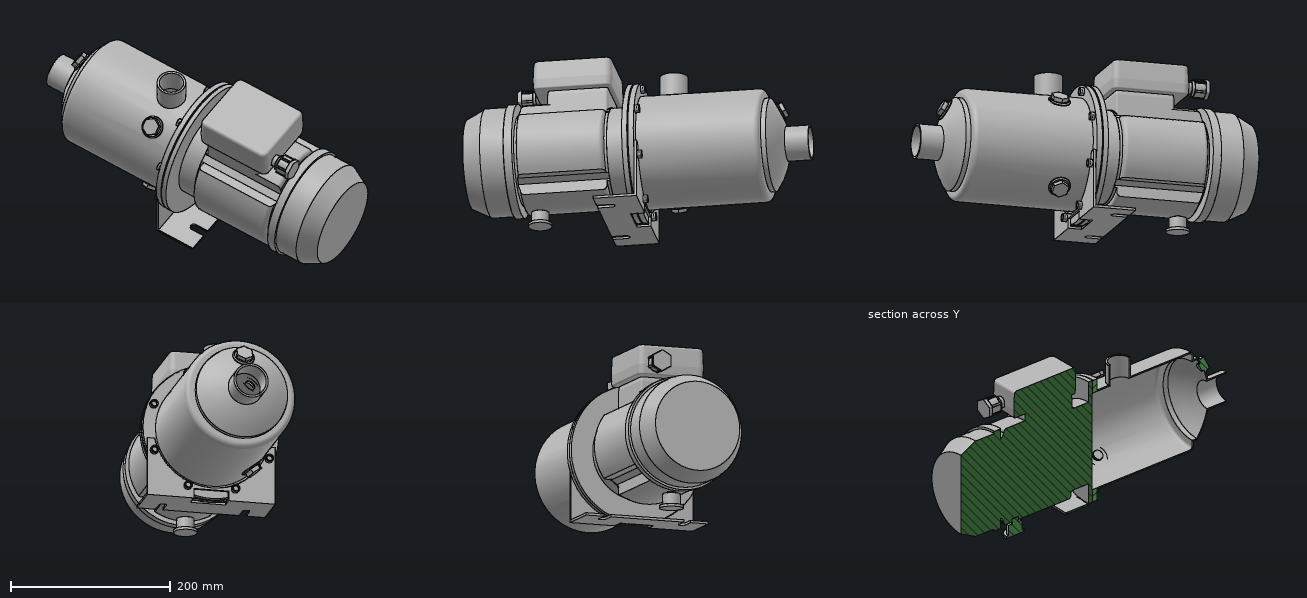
import cadquery as cq
import math


CASING_RADIUS = 71.5
CASING_FRONT = 54.0
CASING_EDGE_RADIUS = 7.0
WALL = 2.5
DOME_RADIUS = 97.0
DOME_CENTER_X = 124.5
DOME_RIM_RADIUS = 59.0
INLET_RADIUS = 22.0
INLET_BORE_RADIUS = 19.5
OUTLET_X = 174.5
OUTLET_DIAMETER = 36.0
OUTLET_BORE_DIAMETER = 30.5
OUTLET_TOP = 99.5

FLANGE_RADIUS = 88.2
CASING_FLANGE_RADIUS = 88.0
FLANGE_FRONT = 211.0
JOINT_X = 219.5
FLANGE_REAR = 226.0
JOINT_CHAMFER = 1.5

SCREW_COUNT = 8
SCREW_CIRCLE_RADIUS = 80.5
SCREW_HEAD_DIAMETER = 10.0
SCREW_HEAD_HEIGHT = 5.0
SCREW_SHANK_DIAMETER = 7.0
SOCKET_DIAMETER = 7.0
SOCKET_DEPTH = 2.5

PLUG_X = 175.5
PLUG_ANGLE = 52.0
DOME_PLUG_ANGLE = 27.5
PLUG_COLLAR_DIAMETER = 28.0
PLUG_COLLAR_TOP = 1.0
PLUG_COLLAR_CHAMFER = 1.7
PLUG_SEAT_DEPTH = 1.7
PLUG_HEX_FLATS = 19.5
PLUG_HEX_TOP = 6.5
PLUG_SHANK_DIAMETER = 13.0
PLUG_SHANK_DEPTH = 5.0

BRACKET_THICKNESS = 3.0
BRACKET_WIDTH = 165.5
BRACKET_TOP = -14.8
BRACKET_REAR = 263.5
BRACKET_CUTOUT_RADIUS = 74.8
GROUND_Z = -90.0
WINDOW_WIDTH = 44.8
WINDOW_TOP = -77.5
BASE_SLOT_WIDTH = 9.0
BASE_SLOT_Y = 54.0
BASE_SLOT_LENGTH = 22.5
BRACKET_FRONT = FLANGE_FRONT - BRACKET_THICKNESS

NECK_RADIUS = 59.0
CORE_RADIUS = 60.0
CORE_FRONT = 250.5
CORE_REAR = 367.0
FAN_SEAT_RADIUS = 57.0
FAN_FRONT = 369.5
FAN_RIM_RADIUS = 72.0
FAN_RIM_REAR = 380.3
FAN_RADIUS = 69.0
FAN_CONE_FRONT = 410.5
FAN_END_RADIUS = 57.0
MOTOR_REAR = 434.5
PANEL_RADIUS = 69.5
PANEL_FRONT = 254.0
PANEL_REAR = 364.5
PANEL_END_RADIUS = 5.0
PANEL_HALF_WIDTH = 35.5
SIDE_PANEL_HALF_HEIGHT = 40.5
BEVEL_WIDTH = 8.5
BEVEL_RISE = 5.0

PEDESTAL_FRONT = 252.5
PEDESTAL_REAR = 330.5
PEDESTAL_SHOULDER = 73.5
PEDESTAL_DRAFT = 10.0
PEDESTAL_CORNER_RADIUS = 3.5
BOX_CENTER_X = 297.3
BOX_LENGTH = 102.0
BOX_WIDTH = 90.5
BOX_BOTTOM = 78.5
BOX_SPLIT = 91.5
BOX_TOP = 117.5
BOX_CORNER_RADIUS = 8.5
LID_DRAFT = 2.5
TRAY_DRAFT = 5.0
LID_EDGE_RADIUS = 4.5
TRAY_EDGE_RADIUS = 2.0

GLAND_Y = -24.8
GLAND_Z = 92.0
GLAND_SEAT_X = 345.5
GLAND_NECK_REAR = 354.0
GLAND_COLLAR_REAR = 357.5
GLAND_NUT_REAR = 371.5
GLAND_REAR = 377.0
GLAND_NECK_DIAMETER = 15.0
GLAND_COLLAR_DIAMETER = 19.5
GLAND_NUT_DIAMETER = 23.0
GLAND_RIB_COUNT = 6
GLAND_RIB_WIDTH = 2.5
GLAND_RIB_RADIUS = 12.5
GLAND_HEX_CORNERS = 27.5
GLAND_HEX_EDGE_RADIUS = 1.7

FOOT_X = 345.5
FOOT_STEM_DIAMETER = 10.0
FOOT_STEM_TOP = -65.0
FOOT_BODY_DIAMETER = 22.0
FOOT_BODY_TOP = -71.5
FOOT_DISC_DIAMETER = 30.0
FOOT_DISC_TOP = -86.5


def cylinder_x(diameter, x_start, x_end, y=0, z=0):
    """Cylinder parallel to the X axis."""
    return (cq.Workplane("YZ", origin=(x_start, y, z))
            .circle(diameter / 2).extrude(x_end - x_start))


def cylinder_z(diameter, x, z_start, z_end):
    """Vertical cylinder on the Y = 0 plane."""
    return (cq.Workplane("XY", origin=(x, 0, z_start))
            .circle(diameter / 2).extrude(z_end - z_start))


def block(x_range, y_range, z_range):
    """Rectangular block between pairs of limits."""
    (x0, x1), (y0, y1), (z0, z1) = x_range, y_range, z_range
    return cq.Workplane("XY").box(x1 - x0, y1 - y0, z1 - z0, centered=False).translate((x0, y0, z0))


def dome_x(radius, distance):
    """X on a dome sphere of the given radius, at a distance from the axis."""
    return DOME_CENTER_X - math.sqrt(radius ** 2 - distance ** 2)


def dome_arc_middle(radius, inner, outer):
    """Point halfway between two distances from the axis on a dome sphere."""
    middle = (inner + outer) / 2
    return dome_x(radius, middle), middle


def screw_positions():
    """(y, z) of each flange screw."""
    step = 2 * math.pi / SCREW_COUNT
    angles = [(i + 0.5) * step for i in range(SCREW_COUNT)]
    return [(SCREW_CIRCLE_RADIUS * math.cos(a), SCREW_CIRCLE_RADIUS * math.sin(a)) for a in angles]


def screw(y, z):
    """Screw standing out of the casing flange; the lower ones also reach through the bracket."""
    head_rear = FLANGE_FRONT if z > BRACKET_TOP else BRACKET_FRONT
    head_front = head_rear - SCREW_HEAD_HEIGHT
    head = cylinder_x(SCREW_HEAD_DIAMETER, head_front, head_rear, y, z)
    socket = cylinder_x(SOCKET_DIAMETER, head_front, head_front + SOCKET_DEPTH, y, z)
    shank = cylinder_x(SCREW_SHANK_DIAMETER, head_rear, JOINT_X, y, z)
    return head.cut(socket).union(shank)


def plug_planes():
    """Planes on the casing surface where the plugs sit, with Z pointing outward."""
    planes = []
    for angle in (PLUG_ANGLE, -PLUG_ANGLE):
        outward = cq.Vector(0, -math.cos(math.radians(angle)), math.sin(math.radians(angle)))
        origin = outward * CASING_RADIUS + cq.Vector(PLUG_X, 0, 0)
        planes.append(cq.Plane(origin, cq.Vector(1, 0, 0).cross(outward), outward))
    angle = math.radians(DOME_PLUG_ANGLE)
    outward = cq.Vector(-math.cos(angle), 0, math.sin(angle))
    origin = outward * DOME_RADIUS + cq.Vector(DOME_CENTER_X, 0, 0)
    planes.append(cq.Plane(origin, cq.Vector(0, 1, 0).cross(outward), outward))
    return planes


def plug_part(plane, diameter, start, end):
    """Round length of a plug, measured outward from the casing surface."""
    return cq.Workplane(plane).workplane(offset=start).circle(diameter / 2).extrude(end - start)


def make_plug(plane):
    collar = plug_part(plane, PLUG_COLLAR_DIAMETER, -PLUG_SEAT_DEPTH, PLUG_COLLAR_TOP)
    outer_face = cq.selectors.DirectionMinMaxSelector(plane.zDir)
    collar = collar.faces(outer_face).chamfer(PLUG_COLLAR_CHAMFER)
    shank = plug_part(plane, PLUG_SHANK_DIAMETER, -PLUG_SHANK_DEPTH, 0)
    hex_corners = PLUG_HEX_FLATS / math.cos(math.pi / 6)
    head = cq.Workplane(plane).polygon(6, hex_corners).extrude(PLUG_HEX_TOP)
    return collar.union(shank).union(head)


def plug_seat(plane):
    """Spot face and through hole that take a plug."""
    face = plug_part(plane, PLUG_COLLAR_DIAMETER, -PLUG_SEAT_DEPTH, PLUG_HEX_TOP)
    return face.union(plug_part(plane, PLUG_SHANK_DIAMETER, -PLUG_SHANK_DEPTH, 0))


def casing_shell():
    """Revolved wall of the inlet pipe, dome, barrel and flange."""
    inner_dome = DOME_RADIUS - WALL
    inner_rim = DOME_RIM_RADIUS - WALL
    inner_barrel = CASING_RADIUS - WALL
    profile = (
        cq.Workplane("XY")
        .moveTo(0, INLET_BORE_RADIUS)
        .lineTo(0, INLET_RADIUS)
        .lineTo(dome_x(DOME_RADIUS, INLET_RADIUS), INLET_RADIUS)
        .threePointArc(dome_arc_middle(DOME_RADIUS, INLET_RADIUS, DOME_RIM_RADIUS),
                       (dome_x(DOME_RADIUS, DOME_RIM_RADIUS), DOME_RIM_RADIUS))
        .lineTo(CASING_FRONT, DOME_RIM_RADIUS)
        .lineTo(CASING_FRONT, CASING_RADIUS - CASING_EDGE_RADIUS)
        .radiusArc((CASING_FRONT + CASING_EDGE_RADIUS, CASING_RADIUS), CASING_EDGE_RADIUS)
        .lineTo(FLANGE_FRONT, CASING_RADIUS)
        .lineTo(FLANGE_FRONT, CASING_FLANGE_RADIUS)
        .lineTo(JOINT_X - JOINT_CHAMFER, CASING_FLANGE_RADIUS)
        .lineTo(JOINT_X, CASING_FLANGE_RADIUS - JOINT_CHAMFER)
        .lineTo(JOINT_X, inner_barrel)
        .lineTo(CASING_FRONT + CASING_EDGE_RADIUS, inner_barrel)
        .radiusArc((CASING_FRONT + WALL, CASING_RADIUS - CASING_EDGE_RADIUS), WALL - CASING_EDGE_RADIUS)
        .lineTo(CASING_FRONT + WALL, inner_rim)
        .lineTo(dome_x(inner_dome, inner_rim), inner_rim)
        .threePointArc(dome_arc_middle(inner_dome, INLET_BORE_RADIUS, inner_rim),
                       (dome_x(inner_dome, INLET_BORE_RADIUS), INLET_BORE_RADIUS))
        .close()
    )
    return profile.revolve(360, (0, 0, 0), (1, 0, 0))


def make_casing():
    casing = casing_shell()
    barrel_space = cylinder_x(2 * (CASING_RADIUS - WALL), CASING_FRONT, JOINT_X)
    outlet = cylinder_z(OUTLET_DIAMETER, OUTLET_X, 0, OUTLET_TOP).cut(barrel_space)
    casing = casing.union(outlet)
    casing = casing.cut(cylinder_z(OUTLET_BORE_DIAMETER, OUTLET_X, 0, OUTLET_TOP))
    for y, z in screw_positions():
        casing = casing.union(screw(y, z))
    for plane in plug_planes():
        casing = casing.cut(plug_seat(plane))
    return casing


def make_bracket():
    half_width = BRACKET_WIDTH / 2
    across = (-half_width, half_width)
    plate = block((BRACKET_FRONT, FLANGE_FRONT), across, (GROUND_Z, BRACKET_TOP))
    plate = plate.cut(cylinder_x(2 * BRACKET_CUTOUT_RADIUS, BRACKET_FRONT, FLANGE_FRONT))
    for y, z in screw_positions():
        plate = plate.cut(cylinder_x(SCREW_SHANK_DIAMETER, BRACKET_FRONT, FLANGE_FRONT, y, z))
    base = block((BRACKET_FRONT, BRACKET_REAR), across, (GROUND_Z, GROUND_Z + BRACKET_THICKNESS))
    bracket = plate.union(base)

    half_window = WINDOW_WIDTH / 2
    bracket = bracket.cut(block((BRACKET_FRONT, FLANGE_REAR), (-half_window, half_window),
                                (GROUND_Z, WINDOW_TOP)))

    slots = (cq.Workplane("XY", origin=(BRACKET_REAR, 0, GROUND_Z))
             .pushPoints([(0, -BASE_SLOT_Y), (0, BASE_SLOT_Y)])
             .slot2D(2 * BASE_SLOT_LENGTH, BASE_SLOT_WIDTH)
             .extrude(BRACKET_THICKNESS))
    return bracket.cut(slots)


def turned(points):
    """Solid of revolution about the X axis from (x, radius) points."""
    return cq.Workplane("XY").polyline(points).close().revolve(360, (0, 0, 0), (1, 0, 0))


def front_flange():
    """Flange and neck between the casing and the motor frame."""
    return turned([
        (JOINT_X, 0),
        (JOINT_X, FLANGE_RADIUS),
        (FLANGE_REAR, FLANGE_RADIUS),
        (FLANGE_REAR, NECK_RADIUS),
        (CORE_FRONT, NECK_RADIUS),
        (CORE_FRONT, 0),
    ])


def fan_cover():
    """Cover with a front rim and a conical rear end."""
    return turned([
        (FAN_FRONT, 0),
        (FAN_FRONT, FAN_RIM_RADIUS),
        (FAN_RIM_REAR, FAN_RIM_RADIUS),
        (FAN_RIM_REAR, FAN_RADIUS),
        (FAN_CONE_FRONT, FAN_RADIUS),
        (MOTOR_REAR, FAN_END_RADIUS),
        (MOTOR_REAR, 0),
    ])


def frame_drum():
    """Stepped drum that the frame is shaped from: core ends and the larger panel length."""
    return (
        cq.Workplane("XY")
        .moveTo(CORE_FRONT, 0)
        .lineTo(CORE_FRONT, CORE_RADIUS)
        .lineTo(PANEL_FRONT, CORE_RADIUS)
        .lineTo(PANEL_FRONT, PANEL_RADIUS - PANEL_END_RADIUS)
        .radiusArc((PANEL_FRONT + PANEL_END_RADIUS, PANEL_RADIUS), PANEL_END_RADIUS)
        .lineTo(PANEL_REAR - PANEL_END_RADIUS, PANEL_RADIUS)
        .radiusArc((PANEL_REAR, PANEL_RADIUS - PANEL_END_RADIUS), PANEL_END_RADIUS)
        .lineTo(CORE_REAR, CORE_RADIUS)
        .lineTo(FAN_FRONT, FAN_SEAT_RADIUS)
        .lineTo(FAN_FRONT, 0)
        .close()
        .revolve(360, (0, 0, 0), (1, 0, 0))
    )


def frame_corner(y_sign, z_sign):
    """Stock removed between two neighbouring panels, leaving a bevelled inner corner."""
    y_bevel = PANEL_HALF_WIDTH + BEVEL_WIDTH
    z_bevel = SIDE_PANEL_HALF_HEIGHT + BEVEL_RISE
    outline = [
        (y_bevel, SIDE_PANEL_HALF_HEIGHT),
        (PANEL_RADIUS, SIDE_PANEL_HALF_HEIGHT),
        (PANEL_RADIUS, PANEL_RADIUS),
        (PANEL_HALF_WIDTH, PANEL_RADIUS),
        (PANEL_HALF_WIDTH, z_bevel),
    ]
    points = [(y_sign * y, z_sign * z) for y, z in outline]
    return (cq.Workplane("YZ", origin=(CORE_FRONT, 0, 0))
            .polyline(points).close().extrude(CORE_REAR - CORE_FRONT))


def motor_frame():
    frame = frame_drum()
    for y_sign in (-1, 1):
        for z_sign in (-1, 1):
            frame = frame.cut(frame_corner(y_sign, z_sign))
    corner_end = PEDESTAL_FRONT + PEDESTAL_CORNER_RADIUS
    return frame.cut(block((PANEL_FRONT, corner_end), (-PANEL_HALF_WIDTH, PANEL_HALF_WIDTH),
                           (SIDE_PANEL_HALF_HEIGHT + BEVEL_RISE, PANEL_RADIUS)))


def pedestal():
    """Rounded column flush with the top panel, narrowing slightly under the terminal box."""
    length = PEDESTAL_REAR - PEDESTAL_FRONT
    center_x = PEDESTAL_FRONT + length / 2
    outline = (cq.Sketch().rect(length, 2 * PANEL_HALF_WIDTH)
               .vertices().fillet(PEDESTAL_CORNER_RADIUS))
    column = cq.Workplane("XY", origin=(center_x, 0, 0)).placeSketch(outline).extrude(PEDESTAL_SHOULDER)
    cap = (cq.Workplane("XY", origin=(center_x, 0, PEDESTAL_SHOULDER)).placeSketch(outline)
           .extrude(BOX_BOTTOM - PEDESTAL_SHOULDER, taper=PEDESTAL_DRAFT))
    return column.union(cap)


def box_half(height, draft, edge_radius):
    """Drafted half of the terminal box, rising or falling from the split plane."""
    outline = (cq.Workplane("XY", origin=(BOX_CENTER_X, 0, BOX_SPLIT))
               .sketch().rect(BOX_LENGTH, BOX_WIDTH).vertices().fillet(BOX_CORNER_RADIUS).finalize())
    half = outline.extrude(height, taper=draft)
    outer_face = ">Z" if height > 0 else "<Z"
    return half.faces(outer_face).edges().fillet(edge_radius)


def make_motor():
    lid = box_half(BOX_TOP - BOX_SPLIT, LID_DRAFT, LID_EDGE_RADIUS)
    tray = box_half(BOX_BOTTOM - BOX_SPLIT, TRAY_DRAFT, TRAY_EDGE_RADIUS)
    motor = front_flange().union(motor_frame()).union(fan_cover())
    motor = motor.union(pedestal()).union(tray).union(lid)
    gland_hole = cylinder_x(GLAND_NECK_DIAMETER, GLAND_SEAT_X, GLAND_NECK_REAR, GLAND_Y, GLAND_Z)
    foot_hole = cylinder_z(FOOT_STEM_DIAMETER, FOOT_X, -PANEL_RADIUS, FOOT_STEM_TOP)
    return motor.cut(gland_hole).cut(foot_hole)


def make_gland():
    neck = cylinder_x(GLAND_NECK_DIAMETER, GLAND_SEAT_X, GLAND_NECK_REAR, GLAND_Y, GLAND_Z)
    collar = cylinder_x(GLAND_COLLAR_DIAMETER, GLAND_NECK_REAR, GLAND_COLLAR_REAR, GLAND_Y, GLAND_Z)
    nut = cylinder_x(GLAND_NUT_DIAMETER, GLAND_COLLAR_REAR, GLAND_NUT_REAR, GLAND_Y, GLAND_Z)
    gland = neck.union(collar).union(nut)

    half_rib = GLAND_RIB_WIDTH / 2
    rib = block((GLAND_COLLAR_REAR, GLAND_NUT_REAR), (-half_rib, half_rib), (0, GLAND_RIB_RADIUS))
    for i in range(GLAND_RIB_COUNT):
        turned_rib = rib.rotate((0, 0, 0), (1, 0, 0), i * 360 / GLAND_RIB_COUNT)
        gland = gland.union(turned_rib.translate((0, GLAND_Y, GLAND_Z)))

    hexagon = (cq.Workplane("YZ", origin=(GLAND_NUT_REAR, GLAND_Y, GLAND_Z))
               .transformed(rotate=(0, 0, 90))
               .polygon(6, GLAND_HEX_CORNERS)
               .extrude(GLAND_REAR - GLAND_NUT_REAR)
               .edges("|X").fillet(GLAND_HEX_EDGE_RADIUS))
    return gland.union(hexagon)


def make_foot():
    stem = cylinder_z(FOOT_STEM_DIAMETER, FOOT_X, FOOT_BODY_TOP, FOOT_STEM_TOP)
    body = cylinder_z(FOOT_BODY_DIAMETER, FOOT_X, FOOT_DISC_TOP, FOOT_BODY_TOP)
    disc = cylinder_z(FOOT_DISC_DIAMETER, FOOT_X, GROUND_Z, FOOT_DISC_TOP)
    return stem.union(body).union(disc)


casing = make_casing()
plugs = [make_plug(plane) for plane in plug_planes()]
bracket = make_bracket()
motor = make_motor()
gland = make_gland()
foot = make_foot()

result = cq.Compound.makeCompound([
    casing.val(),
    *[plug.val() for plug in plugs],
    bracket.val(),
    motor.val(),
    gland.val(),
    foot.val(),
])